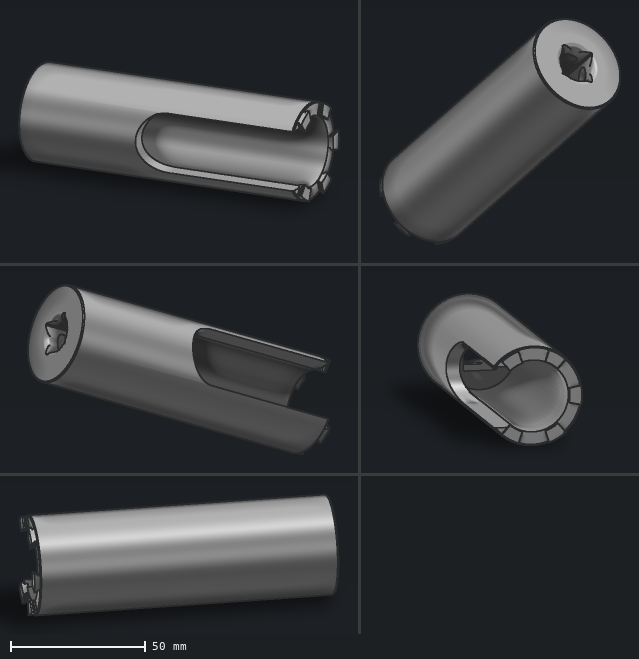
import cadquery as cq
import math

total_length = 115.0
tooth_height = 2.1
body_length = total_length - tooth_height
outer_radius = 37.5 / 2
bore_radius = 27.1 / 2
edge_chamfer = 0.5

drive_length = 23.0
drive_square = 12.6
drive_corner_radius = 8.6
entry_radius = 8.7
pilot_radius = 6.5
entry_rounding = entry_radius - pilot_radius
groove_start = 5.4
groove_width = 4.5
groove_radius = 7.5

window_width = 23.0
window_start = 49.0

tooth_angles = (-120, -60, 0, 60, 120)
neck_height = 0.7
flare_height = 0.7
neck_half_angle = 9.1
head_half_angle = 11.5
tooth_inner_inset = 0.1
tooth_outer_inset = 0.3
tooth_inner_radius = bore_radius + tooth_inner_inset
tooth_outer_radius = outer_radius - tooth_outer_inset
root_overlap = 0.5


def cylinder(radius, start, length):
    return cq.Workplane("YZ").workplane(offset=start).circle(radius).extrude(length)


def make_drive_hole():
    """Square hole with a rounded round entry, a pilot bore and a detent groove."""
    square = cq.Workplane("YZ").rect(drive_square, drive_square).extrude(drive_length)
    square = square.intersect(cylinder(drive_corner_radius, 0, drive_length))
    groove_end = groove_start + groove_width
    round_part = (
        cq.Workplane("XY")
        .lineTo(0, entry_radius)
        .radiusArc((entry_rounding, pilot_radius), -entry_rounding)
        .lineTo(groove_start, pilot_radius)
        .threePointArc(
            (groove_start + groove_width / 2, groove_radius),
            (groove_end, drive_square / 2),
        )
        .lineTo(groove_end, 0)
        .close()
        .revolve(360, (0, 0, 0), (1, 0, 0))
    )
    return square.union(round_part)


def make_window():
    end_radius = window_width / 2
    arc_center = window_start + end_radius
    return (
        cq.Workplane("XZ")
        .moveTo(total_length, end_radius)
        .lineTo(arc_center, end_radius)
        .threePointArc((window_start, 0), (arc_center, -end_radius))
        .lineTo(total_length, -end_radius)
        .close()
        .extrude(2 * outer_radius)
    )


def wedge_wire(x, half_angle):
    """Triangle from the axis to beyond the outer wall, centred on +Y, at the given X."""
    reach = 2 * outer_radius
    half_width = reach * math.tan(math.radians(half_angle))
    corners = [(0, 0), (reach, -half_width), (reach, half_width)]
    return cq.Workplane("YZ").workplane(offset=x).polyline(corners).close().wire().val()


def make_tooth():
    root = body_length - root_overlap
    flare_start = body_length + neck_height
    wedge = cq.Solid.makeLoft(
        [
            wedge_wire(root, neck_half_angle),
            wedge_wire(flare_start, neck_half_angle),
            wedge_wire(flare_start + flare_height, head_half_angle),
            wedge_wire(total_length, head_half_angle),
        ],
        True,
    )
    ring_length = total_length - root
    ring = cylinder(tooth_outer_radius, root, ring_length).cut(
        cylinder(tooth_inner_radius, root, ring_length)
    )
    return ring.intersect(cq.Workplane(wedge))


body = cylinder(outer_radius, 0, body_length).edges().chamfer(edge_chamfer)
body = body.cut(cylinder(bore_radius, drive_length, body_length))
body = body.cut(make_drive_hole())
body = body.cut(make_window())

tooth = make_tooth()
for angle in tooth_angles:
    body = body.union(tooth.rotate((0, 0, 0), (1, 0, 0), angle))

result = body